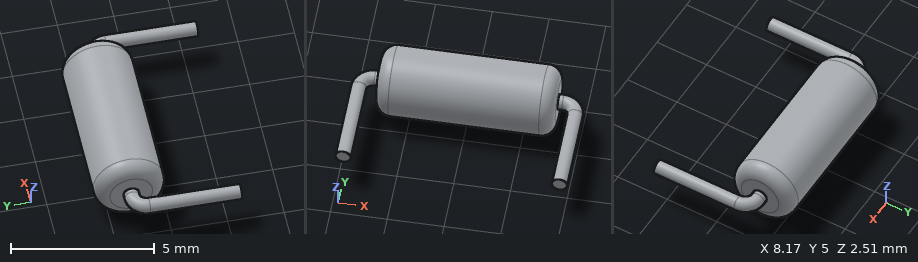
import cadquery as cq

overall_length = 8.17
body_length = 6.31
body_diameter = 2.51
body_edge_radius = 0.5
wire_diameter = 0.55
bend_radius = 0.5
overall_depth = 5.0

lead_x = (overall_length - wire_diameter) / 2
lead_tip_y = body_diameter / 2 - overall_depth
bend_start_x = lead_x - bend_radius


def make_body():
    cylinder = (
        cq.Workplane("YZ", origin=(-body_length / 2, 0, 0))
        .circle(body_diameter / 2)
        .extrude(body_length)
    )
    return cylinder.faces("<X or >X").edges().fillet(body_edge_radius)


def make_lead():
    """Right-hand lead: from the body centre out along +X, then bent to -Y."""
    centreline = (
        cq.Workplane("XY")
        .lineTo(bend_start_x, 0)
        .tangentArcPoint((lead_x, -bend_radius), relative=False)
        .lineTo(lead_x, lead_tip_y)
    )
    return cq.Workplane("YZ").circle(wire_diameter / 2).sweep(centreline)


right_lead = make_lead()
left_lead = right_lead.mirror("YZ")
result = make_body().union(right_lead).union(left_lead)